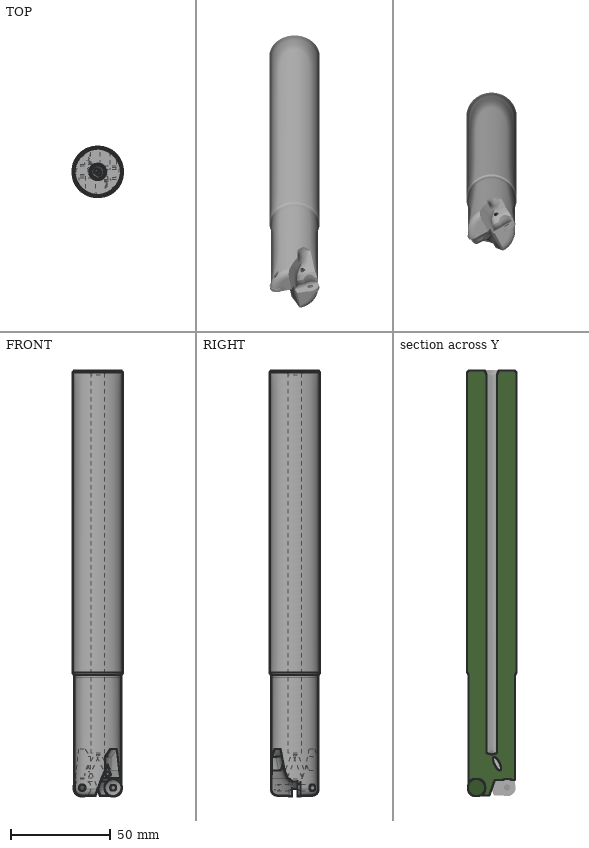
import cadquery as cq

total_length = 214.71
shank_radius = 12.7
shank_bottom_z = 62.5
shank_chamfer = 1.0

neck_radius = 11.95
neck_cone_bottom_z = 61.2
neck_relief_radius = 12.05
neck_relief_bottom_z = 60.0
nose_z = 0.35
nose_fillet = 3.4

bore_mouth_radius = 4.1
bore_radius = 3.3
bore_mouth_depth = 2.3
bore_bottom_z = 22.0
bore_cone_height = 1.9
coolant_radius = 1.2
coolant_outlet = cq.Vector(5.5, -4.5, 10.6)

insert_count = 2
insert_radius = 4.4
insert_center_x = 7.8
insert_center_z = insert_radius
insert_face_y = 1.3
insert_seat_y = 3.0
screw_radius = 1.6
socket_radius = 1.5
socket_depth = 0.8

flute_wall_x = 3.7
flute_wall_bottom_z = 13.0
flute_wall_top_z = 20.0
flute_top_x = 6.5
flute_top_z = 24.0
flute_top_y = -7.2
flute_kink_y = -5.1
flute_step_y = -3.8
flute_step_z = 9.4
flute_pocket_y = -1.3
flute_pocket_z = 7.6
flute_mid_x = 1.9
flute_mid_z = 9.0
flute_nose_x = -1.3
flute_corner_fillet = 3.0
cutter_reach = 15.0


def turned_body():
    """Shank and neck, turned about Z, with a rounded nose."""
    body = (
        cq.Workplane("XZ")
        .moveTo(0, nose_z)
        .lineTo(neck_radius, nose_z)
        .lineTo(neck_radius, neck_relief_bottom_z)
        .lineTo(neck_relief_radius, neck_cone_bottom_z)
        .lineTo(shank_radius, shank_bottom_z)
        .lineTo(shank_radius, total_length - shank_chamfer)
        .lineTo(shank_radius - shank_chamfer, total_length)
        .lineTo(0, total_length)
        .close()
        .revolve(360, (0, 0, 0), (0, 1, 0))
    )
    return body.faces("<Z").edges().fillet(nose_fillet)


def coolant_bore():
    """Blind bore along the axis with a tapered mouth and a conical drill end."""
    return (
        cq.Workplane("XZ")
        .moveTo(0, bore_bottom_z - bore_cone_height)
        .lineTo(bore_radius, bore_bottom_z)
        .lineTo(bore_radius, total_length - bore_mouth_depth)
        .lineTo(bore_mouth_radius, total_length)
        .lineTo(0, total_length)
        .close()
        .revolve(360, (0, 0, 0), (0, 1, 0))
    )


def coolant_channel():
    """Slanted drilling from the bore into the flute."""
    start = cq.Vector(0, 0, bore_bottom_z)
    direction = coolant_outlet - start
    channel = cq.Solid.makeCylinder(coolant_radius, direction.Length, start, direction)
    return cq.Workplane(channel)


def chip_flute():
    """Flute in front of the insert: side outline along Y, bounded by the stepped floor."""
    outline = (
        cq.Workplane("XZ", origin=(0, insert_face_y, 0))
        .moveTo(flute_nose_x, 0)
        .lineTo(flute_mid_x, flute_mid_z)
        .lineTo(flute_wall_x, flute_wall_bottom_z)
        .lineTo(flute_wall_x, flute_wall_top_z)
        .lineTo(flute_top_x, flute_top_z)
        .lineTo(cutter_reach, flute_top_z)
        .lineTo(cutter_reach, 0)
        .close()
        .extrude(insert_face_y + cutter_reach)
    )
    above_floor = (
        cq.Workplane("YZ", origin=(-cutter_reach, 0, 0))
        .moveTo(insert_face_y, 0)
        .lineTo(insert_face_y, flute_pocket_z)
        .lineTo(flute_pocket_y, flute_pocket_z)
        .lineTo(flute_step_y, flute_step_z)
        .lineTo(flute_kink_y, flute_wall_bottom_z)
        .lineTo(flute_top_y, flute_top_z)
        .lineTo(-cutter_reach, flute_top_z)
        .lineTo(-cutter_reach, 0)
        .close()
        .extrude(2 * cutter_reach)
    )
    flute = outline.intersect(above_floor)
    wall_foot = cq.selectors.BoxSelector(
        (flute_wall_x - 1, flute_top_y, flute_wall_bottom_z + 1),
        (flute_top_x - 1, flute_kink_y, flute_top_z - 1),
    )
    return flute.edges(wall_foot).fillet(flute_corner_fillet)


def along_y_cylinder(radius, start_y, end_y):
    """Cylinder on the insert axis between two Y positions."""
    return (
        cq.Workplane("XZ", origin=(insert_center_x, start_y, insert_center_z))
        .circle(radius)
        .extrude(start_y - end_y)
    )


def insert_pocket():
    """Round seat for the insert, open towards the flute."""
    return along_y_cylinder(insert_radius, insert_seat_y, flute_step_y)


def screw_hole():
    """Clamping hole from the seat out through the back of the neck."""
    return along_y_cylinder(screw_radius, cutter_reach, insert_seat_y)


def cutting_insert(angle):
    """Round insert with a blind socket in its face, facing -Y before turning about Z."""
    disc = along_y_cylinder(insert_radius, insert_seat_y, insert_face_y)
    socket = along_y_cylinder(socket_radius, insert_face_y + socket_depth, insert_face_y)
    return disc.cut(socket).rotate((0, 0, 0), (0, 0, 1), angle)


insert_angles = [360 / insert_count * i for i in range(insert_count)]

body = turned_body().cut(coolant_bore())
for angle in insert_angles:
    for cutter in (chip_flute(), insert_pocket(), screw_hole(), coolant_channel()):
        body = body.cut(cutter.rotate((0, 0, 0), (0, 0, 1), angle))

inserts = [cutting_insert(angle) for angle in insert_angles]

result = cq.Compound.makeCompound([body.val(), *[insert.val() for insert in inserts]])